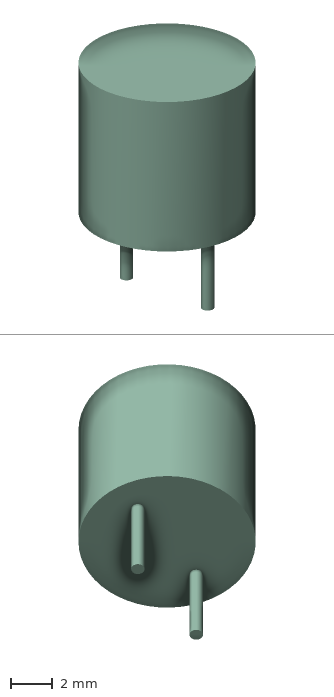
import cadquery as cq

body_diameter = 8.5
body_height = 8.0
pin_diameter = 0.64
pin_length = 4.3
pin_pitch = 5.08


def make_body():
    """Can with its underside on Z = 0."""
    return cq.Workplane("XY").circle(body_diameter / 2).extrude(body_height)


def make_pins():
    """Two pins spaced along X, hanging below the can."""
    return (
        cq.Workplane("XY")
        .pushPoints([(-pin_pitch / 2, 0), (pin_pitch / 2, 0)])
        .circle(pin_diameter / 2)
        .extrude(-pin_length)
    )


result = make_body().union(make_pins())